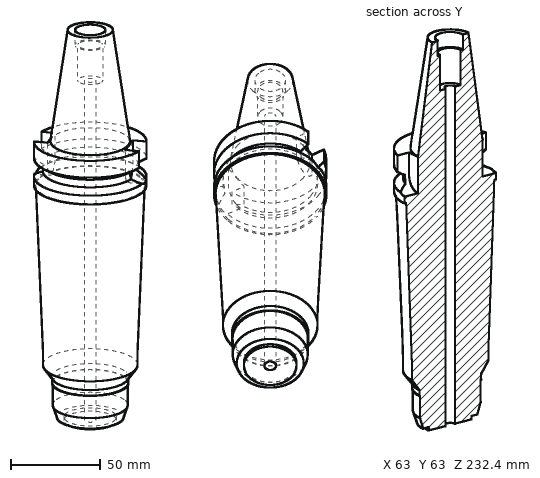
import cadquery as cq

gauge_diameter = 44.45
taper_length = 65.4
taper_ratio = 7 / 24
taper_tip_diameter = gauge_diameter - taper_ratio * taper_length

flange_diameter = 63.0
flange_top = -1.0
flange_bottom = -27.0
groove_diameter = 53.0
groove_upper_edge = -11.0
groove_lower_edge = -21.7
groove_flank_height = 3.1

slot_width = 16.1
slot_floor_offset = 22.5
slot_bottom = -22.8

body_top_diameter = 61.0
body_bottom_diameter = 53.0
body_taper_end = -125.7
body_cylinder_end = -134.1
body_chamfer_end = -141.1

overall_length = 232.4
nose_end = taper_length - overall_length
collar_diameter = 43.0
collar_end = nose_end + 22.4
nut_diameter = 42.0
nut_chamfer_top = nose_end + 9.0
nut_end = nose_end + 2.0
nut_end_diameter = 37.5
pilot_diameter = 29.5

counterbore_diameter = 17.0
counterbore_depth = 9.0
pull_stud_bore_diameter = 14.0
pull_stud_bore_depth = 30.0
through_hole_diameter = 6.5


def make_revolved_body():
    """Revolve the (diameter, height) profile around Z, from the taper tip down to the nose."""
    profile = [
        (0, taper_length),
        (taper_tip_diameter, taper_length),
        (gauge_diameter, 0),
        (gauge_diameter, flange_top),
        (flange_diameter, flange_top),
        (flange_diameter, groove_upper_edge),
        (groove_diameter, groove_upper_edge - groove_flank_height),
        (groove_diameter, groove_lower_edge + groove_flank_height),
        (flange_diameter, groove_lower_edge),
        (flange_diameter, flange_bottom),
        (body_top_diameter, flange_bottom),
        (body_bottom_diameter, body_taper_end),
        (body_bottom_diameter, body_cylinder_end),
        (collar_diameter, body_chamfer_end),
        (collar_diameter, collar_end),
        (nut_diameter, collar_end),
        (nut_diameter, nut_chamfer_top),
        (nut_end_diameter, nut_end),
        (pilot_diameter, nut_end),
        (pilot_diameter, nose_end),
        (0, nose_end),
    ]
    points = [(diameter / 2, height) for diameter, height in profile]
    return cq.Workplane("XZ").polyline(points).close().revolve(360, (0, 0, 0), (0, 1, 0))


def make_drive_slot(side):
    """Round-bottomed drive slot cutter on the +X (side = 1) or -X (side = -1) flank."""
    slot_radius = slot_width / 2
    arc_center = slot_bottom + slot_radius
    return (
        cq.Workplane("YZ", origin=(side * slot_floor_offset, 0, 0))
        .moveTo(-slot_radius, flange_top)
        .lineTo(-slot_radius, arc_center)
        .threePointArc((0, slot_bottom), (slot_radius, arc_center))
        .lineTo(slot_radius, flange_top)
        .close()
        .extrude(side * flange_diameter / 2)
    )


def make_bore(diameter, depth):
    """Cylindrical cutter reaching the given depth below the taper tip."""
    return cq.Workplane("XY", origin=(0, 0, taper_length)).circle(diameter / 2).extrude(-depth)


result = make_revolved_body()
for side in (-1, 1):
    result = result.cut(make_drive_slot(side))

bore_steps = [
    (counterbore_diameter, counterbore_depth),
    (pull_stud_bore_diameter, pull_stud_bore_depth),
    (through_hole_diameter, overall_length),
]
for diameter, depth in bore_steps:
    result = result.cut(make_bore(diameter, depth))